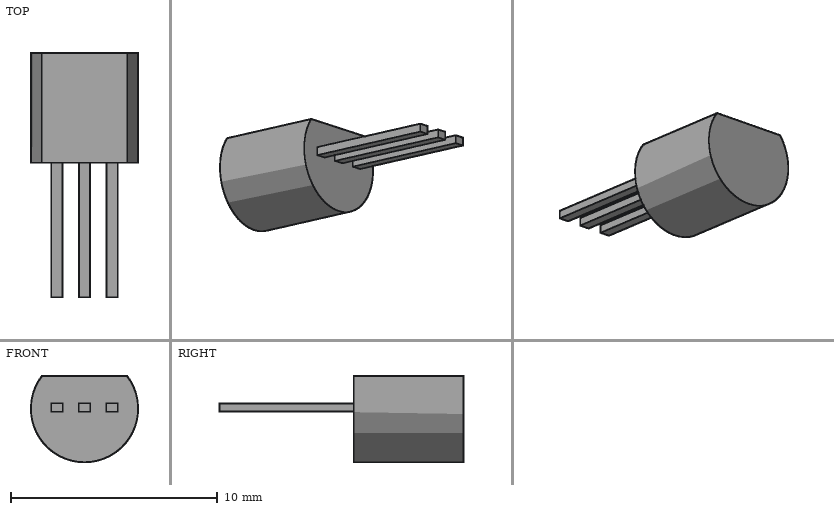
import cadquery as cq
import math

housing_radius = 2.6
flat_height = 1.59
housing_length = 5.33

total_length = 11.84
lead_length = total_length - housing_length
lead_width = 0.56
lead_thickness = 0.4
lead_pitch = 1.34
lead_count = 3
lead_center_z = 0.06


def make_housing():
    """D-shaped prism from Y = 0 back to Y = housing_length."""
    flat_half_width = math.sqrt(housing_radius**2 - flat_height**2)
    return (
        cq.Workplane("XZ")
        .moveTo(-flat_half_width, flat_height)
        .threePointArc((0, -housing_radius), (flat_half_width, flat_height))
        .close()
        .extrude(-housing_length)
    )


def make_lead(center_x):
    """One lead, running from the housing face at Y = 0 toward -Y."""
    return (
        cq.Workplane("XZ")
        .center(center_x, lead_center_z)
        .rect(lead_width, lead_thickness)
        .extrude(lead_length)
    )


housing = make_housing()

leads = []
for index in range(lead_count):
    center_x = (index - (lead_count - 1) / 2) * lead_pitch
    leads.append(make_lead(center_x))

result = cq.Compound.makeCompound([housing.val(), *[lead.val() for lead in leads]])